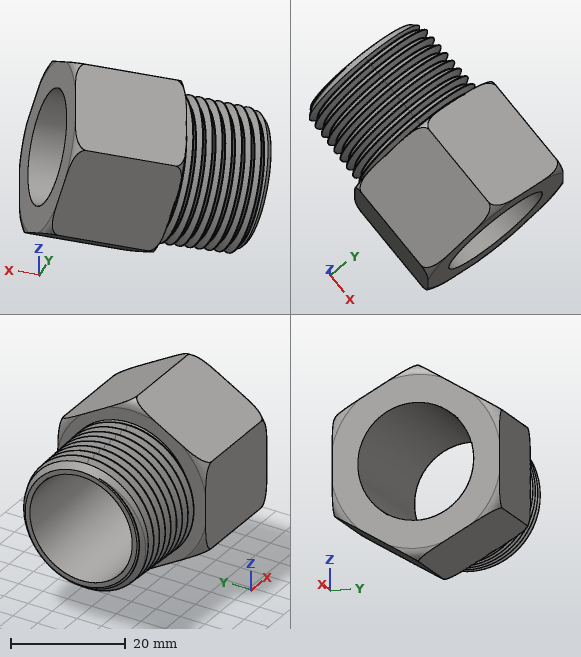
import cadquery as cq
import math

total_length = 37.3
hex_across_flats = 30.2
hex_start = 16.85
hex_edge_radius = 2.0
bore_diameter = 20.93

thread_pitch = 12.7 / 7
taper_slope = 1 / 32
crest_radius_at_end = 12.8
thread_depth = 1.2
crest_flat = 0.2
root_flat = 0.2
top_crest_x = 2.72
end_chamfer_radius = 11.4

hex_corner_radius = hex_across_flats / math.sqrt(3)
hex_length = total_length - hex_start


def crest_radius(x):
    return crest_radius_at_end + taper_slope * x


def revolve_profile(profile):
    return profile.close().revolve(360, (0, 0, 0), (1, 0, 0))


def make_hexagon():
    """Hexagon with corners on +Z and -Z, rounded at both ends by a turned envelope."""
    prism = (
        cq.Workplane("YZ", origin=(hex_start, 0, 0))
        .polygon(6, 2 * hex_corner_radius)
        .extrude(hex_length)
        .rotate((0, 0, 0), (1, 0, 0), 90)
    )
    envelope = (
        cq.Workplane("YZ", origin=(hex_start, 0, 0))
        .circle(hex_corner_radius)
        .extrude(hex_length)
        .edges("%CIRCLE")
        .fillet(hex_edge_radius)
    )
    return prism.intersect(envelope)


def make_thread_groove():
    """Tapered helical V groove, running from beyond the free end to inside the hexagon."""
    lead_in_turns = 3.5
    groove_x = top_crest_x - lead_in_turns * thread_pitch
    groove_turns = math.ceil((hex_start - groove_x) / thread_pitch) + 1
    root_radius = crest_radius(groove_x) - thread_depth
    taper_angle = math.degrees(math.atan(taper_slope))
    slant_pitch = thread_pitch * math.hypot(1, taper_slope)

    flank_slope = (thread_pitch - crest_flat - root_flat) / 2 / thread_depth
    overcut = 0.4 * crest_flat
    root_half = root_flat / 2
    mouth_half = root_half + flank_slope * (thread_depth + overcut)
    mouth_radius = root_radius + thread_depth + overcut

    corners = [
        (root_radius, -root_half),
        (mouth_radius, -mouth_half),
        (mouth_radius, mouth_half),
        (root_radius, root_half),
    ]

    walls = []
    section_ends = []
    for turn in range(groove_turns):
        advance = turn * thread_pitch
        helices = [
            cq.Wire.makeHelix(
                slant_pitch,
                slant_pitch,
                radius + taper_slope * advance,
                cq.Vector(0, 0, offset + advance),
                angle=taper_angle,
            )
            for radius, offset in corners
        ]
        for i, helix in enumerate(helices):
            walls += cq.Face.makeRuledSurface(helices[i - 1], helix).Faces()
        if turn == 0:
            section_ends.append([helix.startPoint() for helix in helices])
    section_ends.append([helix.endPoint() for helix in helices])
    caps = [cq.Face.makeFromWires(cq.Wire.makePolygon(points, close=True)) for points in section_ends]
    groove = cq.Workplane(obj=cq.Solid.makeSolid(cq.Shell.makeShell(walls + caps)))

    return (
        groove.rotate((0, 0, 0), (0, 1, 0), 90)
        .rotate((0, 0, 0), (1, 0, 0), 180)
        .translate((groove_x, 0, 0))
    )


def make_stub_blank():
    """Tapered stub, chamfered at its free end and reaching through the hexagon."""
    chamfer_length = (crest_radius_at_end - end_chamfer_radius) / (1 - taper_slope)
    return revolve_profile(
        cq.Workplane("XY")
        .lineTo(0, end_chamfer_radius)
        .lineTo(chamfer_length, crest_radius(chamfer_length))
        .lineTo(total_length, crest_radius(total_length))
        .lineTo(total_length, 0)
    )


bore = cq.Workplane("YZ").circle(bore_diameter / 2).extrude(total_length)

threaded_stub = make_stub_blank().cut(make_thread_groove())
result = threaded_stub.union(make_hexagon()).cut(bore)